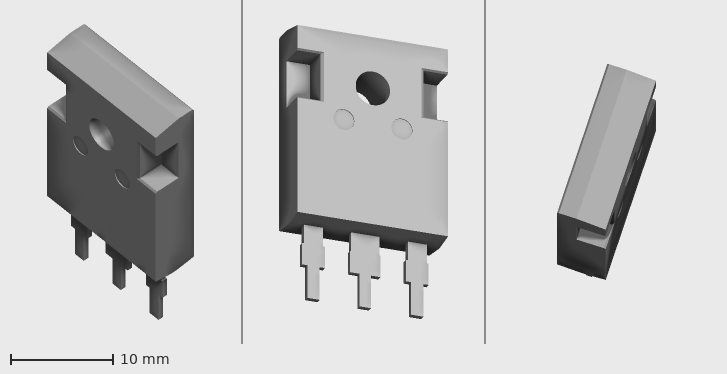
import cadquery as cq
import math


body_width = 15.8
body_depth = 5.01
body_height = 21.0
top_slope_depth = 3.0
top_slope_drop = 0.65
back_edge_chamfer = 0.2
bottom_draft = math.radians(8)

hole_diameter = 3.6
hole_z = body_height - 6.15

mark_diameter = 2.2
mark_recess = 0.1
mark_spacing = 6.1
mark_z = body_height - 10.0

notch_width = 2.5
notch_height = 5.0
notch_depth = 3.0
notch_z = body_height - 5.78
notch_bevel_depth = 0.2
notch_bevel_x = 0.27
notch_bevel_z = 0.17

lead_pitch = 5.45
lead_thickness = 0.6
lead_front_y = 2.0
lead_length = 7.8
lead_shoulder_top = -2.0
lead_shoulder_bottom = -4.3
lead_embedding = 1.0
side_lead_widths = (2.0, 2.4, 1.3)
middle_lead_widths = (3.0, 3.2, 1.2)

lead_back_y = lead_front_y + lead_thickness
lead_center_y = lead_front_y + lead_thickness / 2


def make_body():
    """Side profile in the YZ plane, extruded across the full width.

    The bottom is flat where the leads leave it and slopes up to both faces.
    """
    front_rise = lead_front_y * math.tan(bottom_draft)
    back_rise = (body_depth - lead_back_y) * math.tan(bottom_draft)
    profile = [
        (lead_front_y, 0),
        (lead_back_y, 0),
        (body_depth, back_rise),
        (body_depth, body_height - back_edge_chamfer),
        (body_depth - back_edge_chamfer, body_height),
        (top_slope_depth, body_height),
        (0, body_height - top_slope_drop),
        (0, front_rise),
    ]
    return cq.Workplane("YZ").polyline(profile).close().extrude(body_width / 2, both=True)


def cylinder_from_front(diameter, x, z, depth):
    """Cylinder running from the marked face into the body."""
    return cq.Workplane("XZ").center(x, z).circle(diameter / 2).extrude(-depth)


def make_notch(side):
    """Rectangular notch with a bevelled mouth; side is -1 (left) or +1 (right)."""
    center_x = side * body_width / 2
    pocket = cq.Workplane("XY").box(2 * notch_width, 2 * notch_depth, notch_height)
    pocket = pocket.translate((center_x, 0, notch_z))
    mouth = (
        cq.Workplane("XZ")
        .center(center_x, notch_z)
        .rect(2 * (notch_width + notch_bevel_x), notch_height + 2 * notch_bevel_z)
        .workplane(offset=-notch_bevel_depth)
        .rect(2 * notch_width, notch_height)
        .loft(ruled=True)
    )
    return pocket.union(mouth)


def make_lead(center_x, widths):
    """Flat stepped lead; widths are those of the neck, the shoulder and the tip."""
    levels = (lead_embedding, lead_shoulder_top, lead_shoulder_bottom, -lead_length)
    lead = cq.Workplane("XY")
    for width, top, bottom in zip(widths, levels[:-1], levels[1:]):
        section = cq.Workplane("XY").box(width, lead_thickness, top - bottom)
        lead = lead.union(section.translate((center_x, lead_center_y, (top + bottom) / 2)))
    return lead


result = make_body()
result = result.cut(cylinder_from_front(hole_diameter, 0, hole_z, body_depth))
for side in (-1, 1):
    result = result.cut(make_notch(side))
    result = result.cut(cylinder_from_front(mark_diameter, side * mark_spacing / 2, mark_z, mark_recess))
    result = result.union(make_lead(side * lead_pitch, side_lead_widths))
result = result.union(make_lead(0, middle_lead_widths))